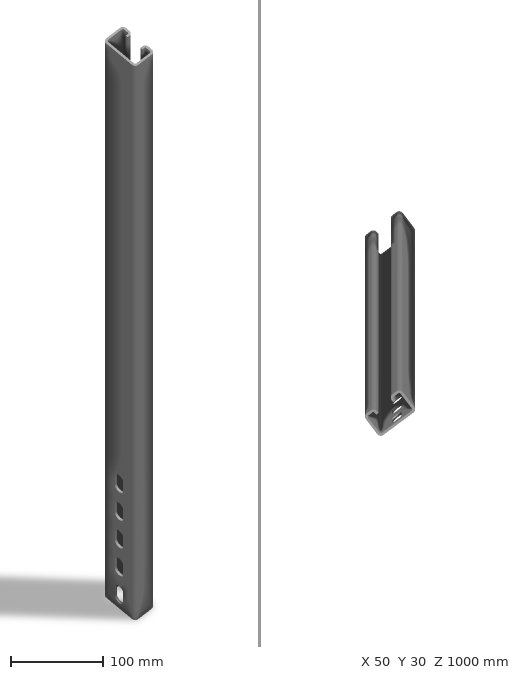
import cadquery as cq

width = 50.0
depth = 30.0
length = 1000.0

thickness = 3.0
outer_bend_radius = 4.75
inner_bend_radius = outer_bend_radius - thickness
mouth_width = 20.0
lip_depth = 7.5

slot_width = 13.0
slot_length = 30.0
slot_count = 5
slot_pitch = 50.0
first_slot_height = slot_pitch / 2

back_y = -depth / 2
front_y = depth / 2


def bar(size_x, size_y, bottom_y):
    """Full-length bar, centred on X = 0 and rising in Y from bottom_y."""
    return (
        cq.Workplane("XY")
        .center(0, bottom_y + size_y / 2)
        .rect(size_x, size_y)
        .extrude(length)
    )


def make_channel():
    """C-section with its mouth toward +Y and a square-cornered lip on each side of it."""
    bore_width = width - 2 * thickness
    bore_depth = depth - 2 * thickness
    inside_y = back_y + thickness
    tube = bar(width, depth, back_y).edges("|Z").fillet(outer_bend_radius)
    bore = bar(bore_width, bore_depth, inside_y).edges("|Z").fillet(inner_bend_radius)

    tongue = bar(mouth_width + 2 * thickness, lip_depth, front_y - lip_depth)
    mouth = bar(mouth_width, depth - thickness, inside_y)
    return tube.cut(bore).union(tongue).cut(mouth)


def round_long_edge(body, x, y, radius):
    """Fillet the full-length edge that runs along Z through (x, y)."""
    edge = cq.selectors.NearestToPointSelector((x, y, length / 2))
    return body.edges(edge).fillet(radius)


def round_lip_bends(channel):
    """Round the outside and inside of the bend between the front wall and each lip."""
    mouth_half = mouth_width / 2
    for side in (-1, 1):
        channel = round_long_edge(channel, side * mouth_half, front_y, outer_bend_radius)
        channel = round_long_edge(
            channel, side * (mouth_half + thickness), front_y - thickness, inner_bend_radius
        )
    return channel


def make_slots():
    """Row of upright round-ended slots passing through the back web only."""
    row_middle = first_slot_height + (slot_count - 1) * slot_pitch / 2
    return (
        cq.Workplane("XZ", origin=(0, back_y, row_middle))
        .rarray(1, slot_pitch, 1, slot_count)
        .slot2D(slot_length, slot_width, 90)
        .extrude(-thickness)
    )


result = round_lip_bends(make_channel()).cut(make_slots())